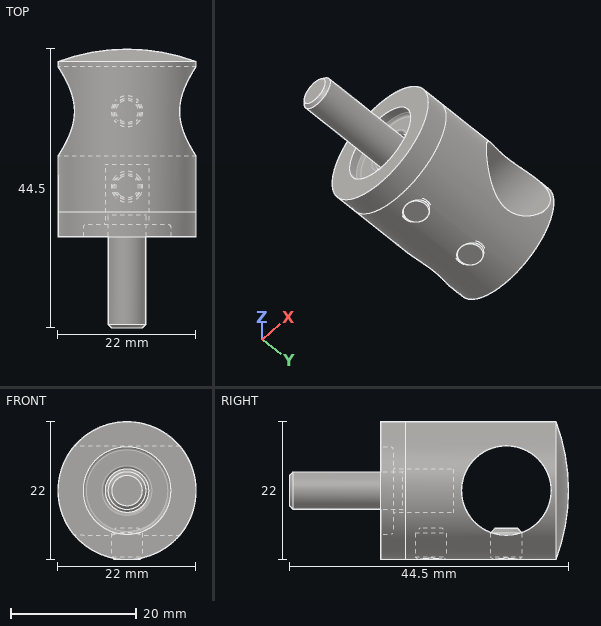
import cadquery as cq

overall_length = 44.5
outer_diameter = 22.0
outer_radius = outer_diameter / 2
collar_length = 3.95
housing_end = 27.95
dome_height = 2.0

recess_radius = 7.0
recess_depth = 2.0
recess_fillet = 0.5
shank_radius = 3.45
hole_fillet = 0.5

stud_diameter = 6.0
stud_radius = stud_diameter / 2
stud_tip = overall_length - housing_end - dome_height
stud_chamfer = 0.6
shank_end = 11.55
shank_taper = shank_radius - stud_radius

cross_hole_radius = 7.1
cross_hole_y = 20.0
screw_positions = [8.0, cross_hole_y]
screw_radius = 2.5
screw_tip_radius = 1.8
screw_tip_length = 0.75
screw_tip_z = -5.95
screw_end_chamfer = 0.45


def revolve_about_y(profile):
    """Close a profile drawn in radius (x) and axial position (y), and revolve it."""
    return profile.close().revolve(360, (0, 0, 0), (0, 1, 0))


def make_collar():
    """Ring with a recess, filleted at its floor, and a shank hole with a rounded mouth."""
    return revolve_about_y(
        cq.Workplane("XY")
        .moveTo(recess_radius, 0)
        .lineTo(outer_radius, 0)
        .lineTo(outer_radius, collar_length)
        .lineTo(shank_radius, collar_length)
        .lineTo(shank_radius, recess_depth + hole_fillet)
        .radiusArc((shank_radius + hole_fillet, recess_depth), -hole_fillet)
        .lineTo(recess_radius - recess_fillet, recess_depth)
        .radiusArc((recess_radius, recess_depth - recess_fillet), recess_fillet)
    )


def make_stud():
    """Shank that tapers to a thinner stud with a chamfered free end."""
    return revolve_about_y(
        cq.Workplane("XY")
        .moveTo(0, -stud_tip)
        .lineTo(stud_radius - stud_chamfer, -stud_tip)
        .lineTo(stud_radius, -stud_tip + stud_chamfer)
        .lineTo(stud_radius, collar_length - shank_taper)
        .lineTo(shank_radius, collar_length)
        .lineTo(shank_radius, shank_end)
        .lineTo(0, shank_end)
    )


def make_set_screw(y):
    """Vertical set screw with a conical tip and a chamfered end tangent to the housing."""
    return (
        cq.Workplane("XZ", origin=(0, y, 0))
        .moveTo(0, screw_tip_z)
        .lineTo(screw_tip_radius, screw_tip_z)
        .lineTo(screw_radius, screw_tip_z - screw_tip_length)
        .lineTo(screw_radius, -outer_radius + screw_end_chamfer)
        .lineTo(screw_radius - screw_end_chamfer, -outer_radius)
        .lineTo(0, -outer_radius)
        .close()
        .revolve(360, (0, 0, 0), (0, 1, 0))
    )


def make_housing(stud, set_screws):
    """Domed cylinder with a cross hole and matching holes for the stud and set screws."""
    dome_radius = (outer_radius**2 + dome_height**2) / (2 * dome_height)
    dome_center_y = housing_end + dome_height - dome_radius
    dome_mid_x = outer_radius / 2
    dome_mid_y = dome_center_y + (dome_radius**2 - dome_mid_x**2) ** 0.5
    body = revolve_about_y(
        cq.Workplane("XY")
        .moveTo(0, collar_length)
        .lineTo(outer_radius, collar_length)
        .lineTo(outer_radius, housing_end)
        .threePointArc((dome_mid_x, dome_mid_y), (0, housing_end + dome_height))
    )
    cross_hole = (
        cq.Workplane("YZ")
        .center(cross_hole_y, 0)
        .circle(cross_hole_radius)
        .extrude(outer_radius, both=True)
    )
    body = body.cut(cross_hole).cut(stud)
    for screw in set_screws:
        body = body.cut(screw)
    return body


collar = make_collar()
stud = make_stud()
set_screws = [make_set_screw(y) for y in screw_positions]
housing = make_housing(stud, set_screws)

result = cq.Compound.makeCompound(
    [housing.val(), collar.val(), stud.val(), *[screw.val() for screw in set_screws]]
)